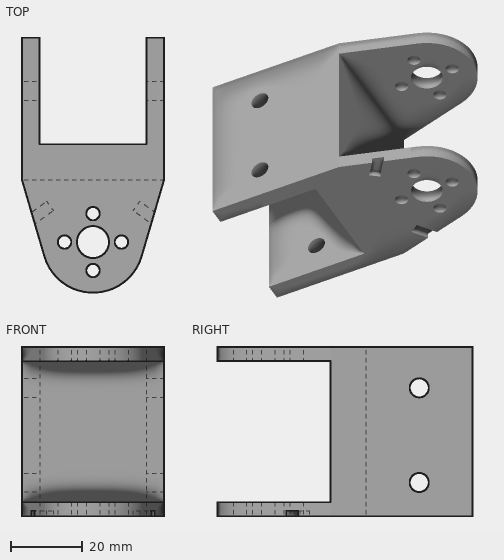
import cadquery as cq
import math

width = 40.0
height = 47.6
block_length = 40.0
overall_length = 71.77

wall_thickness = 5.0
web_thickness = 10.0
fork_depth = block_length - web_thickness
wall_hole_diameter = 5.3
wall_hole_from_rear = 15.0
wall_hole_spacing = 26.6
wall_hole_drop = 1.0

lug_thickness = 4.0
lug_length = overall_length - block_length
pivot_y = -17.5
tip_radius = lug_length + pivot_y
pivot_hole_diameter = 8.94
screw_hole_diameter = 3.7
screw_circle_radius = 8.0
screw_count = 4

slot_width = 3.2
slot_depth = 1.6
slot_angle = 36.0
slot_mouth_x = 17.0
slot_mouth_y = -10.8
slot_reach = 6.0

bottom_z = -height / 2


def make_plan_outline():
    """Plan outline: the block plus a tapered nose whose straight edges are tangent to the tip arc."""
    half_width = width / 2
    corner_distance = math.hypot(half_width, pivot_y)
    corner_angle = math.atan2(-pivot_y, half_width)
    tangent_angle = corner_angle - math.acos(tip_radius / corner_distance)
    tangent_x = tip_radius * math.cos(tangent_angle)
    tangent_y = pivot_y + tip_radius * math.sin(tangent_angle)
    return (
        cq.Workplane("XY", origin=(0, 0, bottom_z))
        .moveTo(-half_width, block_length)
        .lineTo(-half_width, 0)
        .lineTo(-tangent_x, tangent_y)
        .threePointArc((0, -lug_length), (tangent_x, tangent_y))
        .lineTo(half_width, 0)
        .lineTo(half_width, block_length)
        .close()
    )


def make_body():
    """Full-height profile with the gap between the lugs and the rear fork removed."""
    body = make_plan_outline().extrude(height)
    lug_gap = cq.Workplane("XY").box(width, lug_length, height - 2 * lug_thickness)
    lug_gap = lug_gap.translate((0, -lug_length / 2, 0))
    fork_gap = cq.Workplane("XY").box(width - 2 * wall_thickness, fork_depth, height)
    fork_gap = fork_gap.translate((0, block_length - fork_depth / 2, 0))
    return body.cut(lug_gap).cut(fork_gap)


def make_lug_holes():
    """Pivot hole and its ring of screw holes, through both lugs."""
    plane = cq.Workplane("XY", origin=(0, pivot_y, bottom_z))
    pivot_hole = plane.circle(pivot_hole_diameter / 2).extrude(height)
    screw_holes = (
        plane.polarArray(screw_circle_radius, 0, 360, screw_count)
        .circle(screw_hole_diameter / 2)
        .extrude(height)
    )
    return pivot_hole.union(screw_holes)


def make_wall_holes():
    """Two bolt holes, one above the other, through both side walls."""
    return (
        cq.Workplane("YZ", origin=(-width / 2, block_length - wall_hole_from_rear, -wall_hole_drop))
        .rarray(1, wall_hole_spacing, 1, 2)
        .circle(wall_hole_diameter / 2)
        .extrude(width)
    )


def make_slot(side):
    """Slot on one side (-1 left, +1 right), running inward and back toward the block."""
    return (
        cq.Workplane("XY", origin=(side * slot_mouth_x, slot_mouth_y, bottom_z))
        .transformed(rotate=(0, 0, -side * slot_angle))
        .rect(2 * slot_reach, slot_width)
        .extrude(slot_depth)
    )


result = make_body().cut(make_lug_holes()).cut(make_wall_holes())
for side in (-1, 1):
    result = result.cut(make_slot(side))